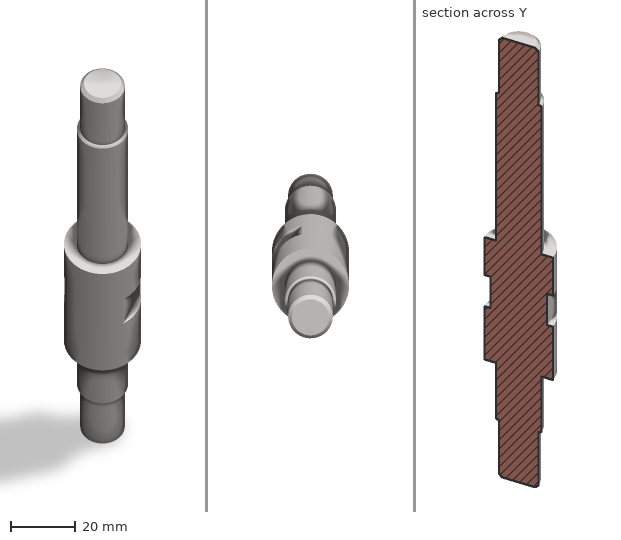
import cadquery as cq

total_length = 172.0
rod_diameter = 16.0
rod_chamfer = 0.5

journal_diameter = 14.0
journal_length = 22.0
journal_chamfer = 1.2

collar_diameter = 24.0
collar_length = 48.0
collar_from_top = 80.0
flat_spacing = 20.0
flat_height = 12.0
flat_below_collar_top = 15.0

top_z = total_length / 2
collar_top_z = top_z - collar_from_top
flat_center_z = collar_top_z - flat_below_collar_top - flat_height / 2


def cylinder(diameter, length, base_z):
    return cq.Workplane("XY").workplane(offset=base_z).circle(diameter / 2).extrude(length)


def chamfered_cylinder(diameter, length, chamfer):
    """Cylinder centred on the origin with both end rims chamfered."""
    return cylinder(diameter, length, -length / 2).faces("<Z or >Z").chamfer(chamfer)


def flat_cutter(side):
    """Block that removes one side of the collar beyond its wrench flat."""
    center_x = side * (flat_spacing + collar_diameter) / 2
    return (
        cq.Workplane("XY")
        .box(collar_diameter, collar_diameter, flat_height)
        .translate((center_x, 0, flat_center_z))
    )


journals = chamfered_cylinder(journal_diameter, total_length, journal_chamfer)
rod = chamfered_cylinder(rod_diameter, total_length - 2 * journal_length, rod_chamfer)
collar = cylinder(collar_diameter, collar_length, collar_top_z - collar_length)

result = journals.union(rod).union(collar)
for side in (-1, 1):
    result = result.cut(flat_cutter(side))